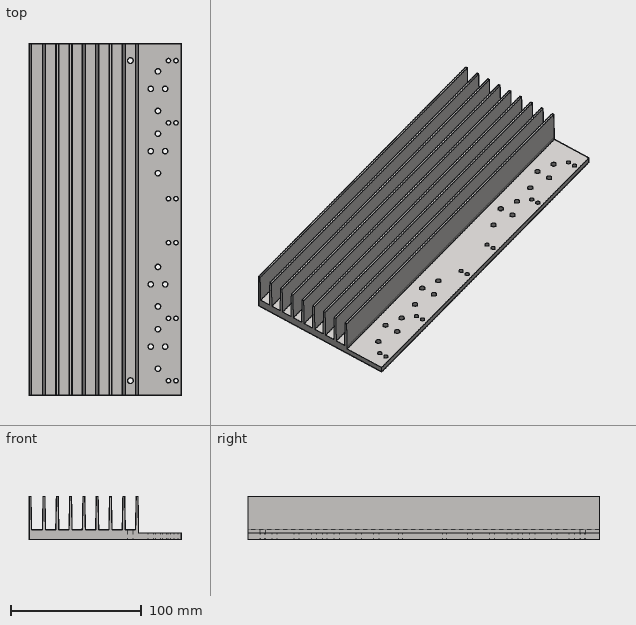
import cadquery as cq

width = 116.47
length = 268.75
height = 33.02

lip_thickness = 5.08
floor_thickness = 7.62
fin_count = 9
fin_pitch = 10.16
fin_root_width = 2.54
fin_tip_width = 1.524
fin_side_taper = (fin_root_width - fin_tip_width) / 2
first_fin_center = fin_root_width / 2

mount_hole_diameter = 4.2
device_hole_diameter = 4.0
pin_hole_diameter = 3.2

device_center_x = 98.5
device_pattern_y = -0.45
device_spacing = 47.6
device_group_spacing = 149.4
device_hole_span_x = 11.0
device_hole_span_y = 30.2
device_side_hole_offset = 1.75

hole_pattern_y = -0.9
pin_pair_x = 109.4
pin_spacing = 5.75
middle_pin_spacing = 33.6
outer_pin_spacing = device_group_spacing + 2 * device_spacing
mount_hole_x = 77.45
mount_hole_spacing = outer_pin_spacing


def tapered_fin(center):
    """Profile points of a fin tapered on both sides, from left root to right root."""
    return [
        (center - fin_root_width / 2, floor_thickness),
        (center - fin_tip_width / 2, height),
        (center + fin_tip_width / 2, height),
        (center + fin_root_width / 2, floor_thickness),
    ]


def make_body():
    """Extrude the finned section along Y, centred on Y = 0."""
    points = [
        (0, 0),
        (0, height),
        (fin_tip_width, height),
        (fin_tip_width + fin_side_taper, floor_thickness),
    ]
    for index in range(1, fin_count):
        points += tapered_fin(first_fin_center + index * fin_pitch)
    step_x, _ = points[-1]
    points += [(step_x, lip_thickness), (width, lip_thickness), (width, 0)]
    return cq.Workplane("XZ").polyline(points).close().extrude(length / 2, both=True)


def mirrored(spacing):
    """Two positions a given distance apart, centred on zero."""
    return [-spacing / 2, spacing / 2]


def drill(body, diameter, points):
    """Cut vertical through holes at the given XY points."""
    drills = cq.Workplane("XY").pushPoints(points).circle(diameter / 2).extrude(height)
    return body.cut(drills)


def mount_hole_points():
    """One mounting hole near each end, in the channel beside the last fin."""
    return [(mount_hole_x, hole_pattern_y + y) for y in mirrored(mount_hole_spacing)]


def device_hole_points():
    """Four holes for each of the four devices on the lip."""
    points = []
    for group_y in mirrored(device_group_spacing):
        for device_y in mirrored(device_spacing):
            center_y = device_pattern_y + group_y + device_y
            side_y = center_y + device_side_hole_offset
            points += [(device_center_x, center_y + y) for y in mirrored(device_hole_span_y)]
            points += [(device_center_x + x, side_y) for x in mirrored(device_hole_span_x)]
    return points


def pin_hole_points():
    """Six pairs of pin holes along the outer edge of the lip."""
    return [
        (pin_pair_x + x, hole_pattern_y + y)
        for pair_spacing in (outer_pin_spacing, device_group_spacing, middle_pin_spacing)
        for y in mirrored(pair_spacing)
        for x in mirrored(pin_spacing)
    ]


result = make_body()
result = drill(result, mount_hole_diameter, mount_hole_points())
result = drill(result, device_hole_diameter, device_hole_points())
result = drill(result, pin_hole_diameter, pin_hole_points())